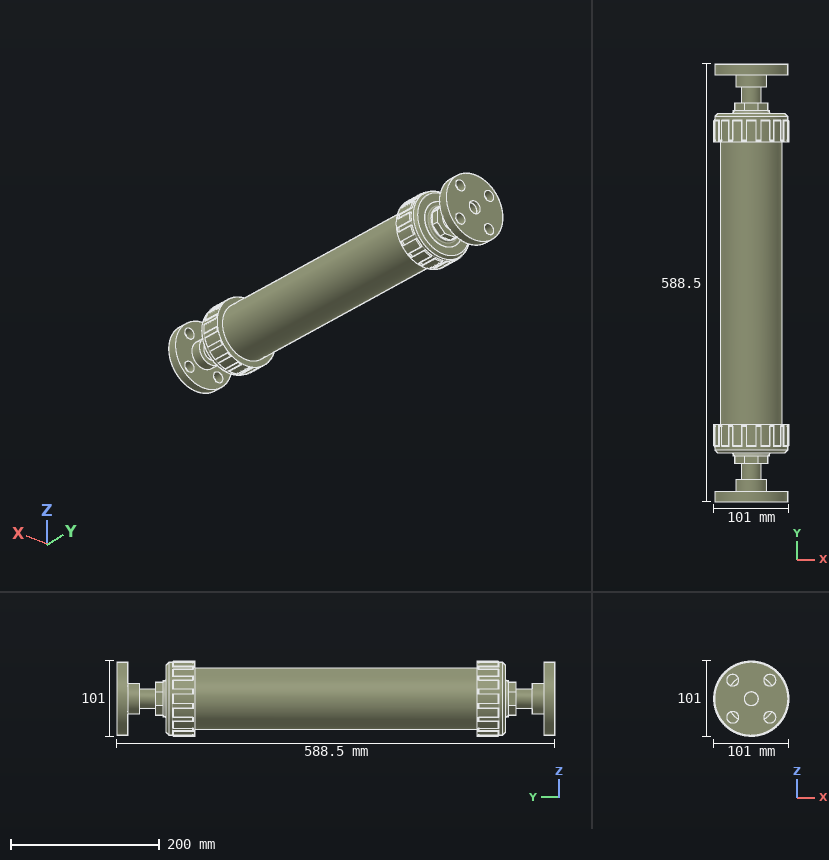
import cadquery as cq
import math

total_length = 588.5
tube_diameter = 83.0

flange_diameter = 98.0
flange_thickness = 15.0
bolt_hole_diameter = 16.0
bolt_circle_diameter = 70.5
bolt_count = 4

bore_mouth_diameter = 19.0
bore_mouth_depth = 7.0
bore_diameter = 18.0
bore_depth = 52.0

hub_diameter = 41.0
hub_length = 16.0
pipe_diameter = 26.5
pipe_length = 21.0

octagon_sides = 8
octagon_across_flats = 45.0
octagon_length = 10.5
collar_diameter = 49.0
collar_height = 4.0
collar_flare = 2.5

nut_diameter = 101.0
nut_length = 39.0
shoulder_diameter = 98.0
shoulder_length = 9.0
face_chamfer = 4.0
face_recess_diameter = 65.5
face_recess_depth = 0.5

groove_count = 16
groove_width = 6.5
rim_length = 2.0

flange_face_y = total_length / 2
flange_back_y = flange_face_y - flange_thickness
hub_end_y = flange_back_y - hub_length
octagon_top_y = hub_end_y - pipe_length
collar_top_y = octagon_top_y - octagon_length
collar_foot_y = collar_top_y - collar_height
nut_face_y = collar_foot_y + face_recess_depth
grip_start_y = nut_face_y - shoulder_length
nut_end_y = nut_face_y - nut_length

rib_height = (nut_diameter - shoulder_diameter) / 2
octagon_circumdiameter = octagon_across_flats / math.cos(math.pi / octagon_sides)


def section(y):
    """Workplane across the part axis at y, with its normal along +Y."""
    return cq.Workplane("XZ", origin=(0, y, 0)).transformed(rotate=(180, 0, 0))


def disc(diameter, y_start, y_end):
    return section(y_start).circle(diameter / 2).extrude(y_end - y_start)


def make_flange():
    flange = disc(flange_diameter, flange_back_y, flange_face_y)
    bolt_holes = (
        section(flange_back_y)
        .polarArray(bolt_circle_diameter / 2, 180 / bolt_count, 360, bolt_count)
        .circle(bolt_hole_diameter / 2)
        .extrude(flange_thickness)
    )
    return flange.cut(bolt_holes)


def make_octagon():
    half_turn = 180 / octagon_sides
    return (
        section(collar_top_y)
        .transformed(rotate=(0, 0, half_turn))
        .polygon(octagon_sides, octagon_circumdiameter)
        .extrude(octagon_length)
    )


def make_collar():
    """Short round collar with a concave quarter round down to the recessed nut face."""
    top_radius = collar_diameter / 2
    foot_radius = top_radius + collar_flare
    bend = collar_flare * (1 - math.sqrt(0.5))
    flare_middle = (top_radius + bend, collar_foot_y + bend)
    flare_top = (top_radius, collar_foot_y + collar_flare)
    return (
        cq.Workplane("XY")
        .moveTo(0, collar_foot_y)
        .lineTo(foot_radius, collar_foot_y)
        .threePointArc(flare_middle, flare_top)
        .lineTo(top_radius, collar_top_y)
        .lineTo(0, collar_top_y)
        .close()
        .revolve(360, (0, 0, 0), (0, 1, 0))
    )


def make_grip():
    """Grip ring whose front edge slopes at 45 degrees from the shoulder to the rib tops."""
    return disc(nut_diameter, nut_end_y, grip_start_y).faces(">Y").chamfer(rib_height)


def make_groove():
    """Groove down to the shoulder diameter, running out at 45 degrees before the rim."""
    floor_radius = shoulder_diameter / 2
    top_radius = nut_diameter / 2
    ramp_end_y = nut_end_y + rim_length
    ramp_start_y = ramp_end_y + rib_height
    ring = (
        cq.Workplane("XY")
        .polyline([
            (floor_radius, grip_start_y),
            (floor_radius, ramp_start_y),
            (top_radius, ramp_end_y),
            (nut_diameter, ramp_end_y),
            (nut_diameter, grip_start_y),
        ])
        .close()
        .revolve(360, (0, 0, 0), (0, 1, 0))
    )
    slot = cq.Workplane("XY").box(
        nut_diameter, nut_length, groove_width, centered=(False, False, True)
    )
    return ring.intersect(slot.translate((0, nut_end_y, 0)))


def make_nut():
    shoulder = disc(shoulder_diameter, nut_end_y, nut_face_y).faces(">Y").chamfer(face_chamfer)
    nut = shoulder.union(make_grip())
    nut = nut.cut(disc(face_recess_diameter, nut_face_y - face_recess_depth, nut_face_y))
    groove = make_groove()
    pitch = 360 / groove_count
    for index in range(groove_count):
        nut = nut.cut(groove.rotate((0, 0, 0), (0, 1, 0), (index + 0.5) * pitch))
    return nut


def make_end():
    """Everything fitted to the +Y end of the tube."""
    hub = disc(hub_diameter, hub_end_y, flange_back_y)
    pipe = disc(pipe_diameter, octagon_top_y, hub_end_y)
    end = make_nut().union(make_collar()).union(make_octagon())
    end = end.union(pipe).union(hub).union(make_flange())
    bore = disc(bore_diameter, flange_face_y - bore_depth, flange_face_y)
    bore_mouth = disc(bore_mouth_diameter, flange_face_y - bore_mouth_depth, flange_face_y)
    return end.cut(bore).cut(bore_mouth)


tube = disc(tube_diameter, -nut_end_y, nut_end_y)
end_fitting = make_end()
result = tube.union(end_fitting).union(end_fitting.mirror("XZ"))